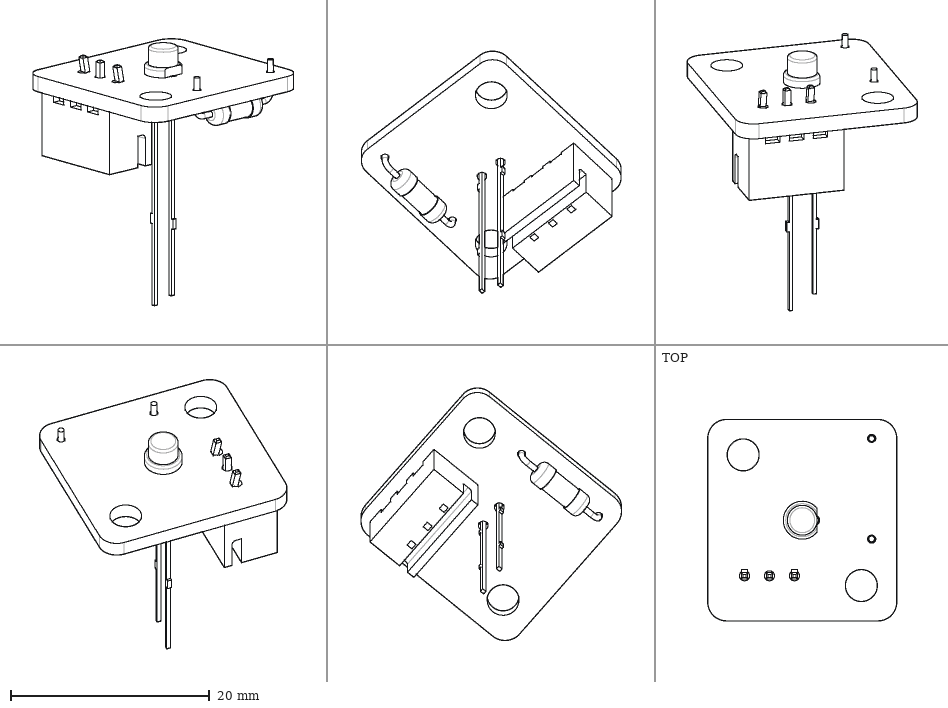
import cadquery as cq


board_length_x = 19.05
board_length_y = 20.3
board_thickness = 1.6
board_corner_radius = 1.9
mounting_hole_diameter = 3.2
mounting_hole_x = 5.95
mounting_hole_y = 6.58

connector_x = -3.3
connector_length_x = 10.0
connector_front_y = -8.98
connector_back_y = -3.2
connector_top_z = -0.05
connector_bottom_z = -7.02
notch_width = 1.5
notch_floor_z = -0.3
notch_recess_z = -1.1
notch_recess_depth = 0.82
side_slot_front_y = -5.08
side_slot_back_y = -4.05
side_slot_top_z = -3.7
side_slot_corner_radius = 0.45

pin_pitch = 2.5
pin_y = -5.6
pin_width = 0.63
pin_rise = 1.7
pin_tip_chamfer = 0.16
pin_tip_length = 0.22
pin_kink = 0.3
pin_hole_diameter = 1.0
pin_xs = [connector_x + i * pin_pitch for i in (-1, 0, 1)]
outer_pin_xs = [pin_xs[0], pin_xs[-1]]

resistor_x = 7.0
resistor_y = 3.17
resistor_axis_z = -1.3
resistor_length = 6.33
resistor_cap_radius = 1.25
resistor_end_fillet = 0.6
resistor_waist_radius = 1.15
resistor_waist_length = 3.08
resistor_lead_spacing = 10.13
resistor_lead_diameter = 0.6
resistor_lead_bend_radius = 0.87
resistor_lead_rise = 1.28
resistor_hole_diameter = 0.8
resistor_lead_ys = [resistor_y + side * resistor_lead_spacing / 2 for side in (-1, 1)]

lens_radius = 1.5
lens_height = 2.8
flange_radius = 1.9
flange_height = 0.95
led_fillet = 0.25
led_lead_x = 1.25
led_lead_width_x = 0.35
led_lead_width_y = 0.45
led_hole_diameter = 0.95
led_total_height = 27.3
led_long_lead_z = board_thickness + lens_height - led_total_height
led_lead_difference = 1.53
led_short_lead_z = led_long_lead_z + led_lead_difference
stop_projection = 0.25
stop_height = 1.05
stop_top_zs = [-1.35, -13.32]


def box_between(x_min, x_max, y_min, y_max, z_min, z_max):
    """Axis-aligned box between opposite corners."""
    return cq.Workplane("XY").box(
        x_max - x_min, y_max - y_min, z_max - z_min, centered=False
    ).translate((x_min, y_min, z_min))


def make_pin(x, kink):
    """Square pin with a tapered tip, bent toward +Y by `kink` at the board's top face."""
    half = pin_width / 2
    tip_z = board_thickness + pin_rise
    bend_points = [
        (pin_y, connector_bottom_z),
        (pin_y, 0),
        (pin_y + kink, board_thickness),
        (pin_y, tip_z - pin_tip_length),
        (pin_y, tip_z),
    ]
    front_edge = [(y - half, z) for y, z in bend_points]
    back_edge = [(y + half, z) for y, z in reversed(bend_points)]
    pin = (
        cq.Workplane("YZ", origin=(x - half, 0, 0))
        .polyline(front_edge + back_edge)
        .close()
        .extrude(pin_width)
    )
    return pin.faces(">Z").chamfer(pin_tip_chamfer)


def make_board(kinked_pins):
    """Rounded plate with mounting and lead holes, relieved where the kinked pins lean out."""
    board = (
        cq.Workplane("XY")
        .rect(board_length_x, board_length_y)
        .extrude(board_thickness)
        .edges("|Z")
        .fillet(board_corner_radius)
    )
    mounting_points = [(-mounting_hole_x, mounting_hole_y), (mounting_hole_x, -mounting_hole_y)]
    hole_groups = [
        (mounting_hole_diameter, mounting_points),
        (pin_hole_diameter, [(x, pin_y) for x in pin_xs]),
        (resistor_hole_diameter, [(resistor_x, y) for y in resistor_lead_ys]),
        (led_hole_diameter, [(-led_lead_x, 0), (led_lead_x, 0)]),
    ]
    for diameter, points in hole_groups:
        drills = cq.Workplane("XY").pushPoints(points).circle(diameter / 2).extrude(board_thickness)
        board = board.cut(drills)
    for pin in kinked_pins:
        board = board.cut(pin)
    return board


def make_connector():
    """Block with a slot along X, a top notch at each pin and square pin holes."""
    x_min = connector_x - connector_length_x / 2
    x_max = connector_x + connector_length_x / 2
    connector = box_between(
        x_min, x_max, connector_front_y, connector_back_y, connector_bottom_z, connector_top_z
    )
    side_slot = (
        box_between(
            x_min, x_max, side_slot_front_y, side_slot_back_y, connector_bottom_z, side_slot_top_z
        )
        .edges("|X and >Y and >Z")
        .fillet(side_slot_corner_radius)
    )
    connector = connector.cut(side_slot)
    for x in pin_xs:
        left = x - notch_width / 2
        right = x + notch_width / 2
        recess_back_y = connector_front_y + notch_recess_depth
        notch = box_between(
            left, right, connector_front_y, connector_back_y, notch_floor_z, connector_top_z
        )
        recess = box_between(
            left, right, connector_front_y, recess_back_y, notch_recess_z, connector_top_z
        )
        connector = connector.cut(notch).cut(recess)
    pin_holes = (
        cq.Workplane("XY", origin=(0, 0, connector_bottom_z))
        .pushPoints([(x, pin_y) for x in pin_xs])
        .rect(pin_width, pin_width)
        .extrude(connector_top_z - connector_bottom_z)
    )
    return connector.cut(pin_holes)


def make_resistor():
    """Axial resistor along Y with both leads bent up through the board."""
    half_length = resistor_length / 2
    body = (
        cq.Workplane("XZ", origin=(0, half_length, 0))
        .circle(resistor_cap_radius)
        .extrude(resistor_length)
        .edges()
        .fillet(resistor_end_fillet)
    )
    waist_cut = (
        cq.Workplane("XZ", origin=(0, resistor_waist_length / 2, 0))
        .circle(resistor_cap_radius)
        .circle(resistor_waist_radius)
        .extrude(resistor_waist_length)
    )
    body = body.cut(waist_cut)

    lead_y = resistor_lead_spacing / 2
    bend = resistor_lead_bend_radius
    lead_top = board_thickness + resistor_lead_rise - resistor_axis_z
    path = (
        cq.Workplane("YZ")
        .moveTo(-lead_y, lead_top)
        .lineTo(-lead_y, bend)
        .radiusArc((bend - lead_y, 0), -bend)
        .lineTo(lead_y - bend, 0)
        .radiusArc((lead_y, bend), -bend)
        .lineTo(lead_y, lead_top)
    )
    wire = (
        cq.Workplane("XY", origin=(0, -lead_y, lead_top))
        .circle(resistor_lead_diameter / 2)
        .sweep(path)
    )
    return body.union(wire).translate((resistor_x, resistor_y, resistor_axis_z))


def make_led_lead(side, end_z):
    """Straight lead on one side of the LED, with stops projecting outward."""
    half_x = led_lead_width_x / 2
    half_y = led_lead_width_y / 2
    lead = box_between(
        led_lead_x - half_x, led_lead_x + half_x, -half_y, half_y, end_z, board_thickness
    )
    for top_z in stop_top_zs:
        stop = box_between(
            led_lead_x, led_lead_x + half_x + stop_projection,
            -half_y, half_y, top_z - stop_height, top_z,
        )
        lead = lead.union(stop)
    if side < 0:
        lead = lead.mirror("YZ")
    return lead


def make_led():
    """Flat-topped lens on a flange with one flat side, plus two leads through the board."""
    base = cq.Workplane("XY", origin=(0, 0, board_thickness))
    flange = base.circle(flange_radius).extrude(flange_height).faces(">Z").edges().fillet(led_fillet)
    flat_cut = box_between(
        lens_radius, flange_radius, -flange_radius, flange_radius,
        board_thickness, board_thickness + flange_height,
    )
    lens = base.circle(lens_radius).extrude(lens_height).faces(">Z").edges().fillet(led_fillet)
    led = flange.cut(flat_cut).union(lens)
    led = led.union(make_led_lead(-1, led_long_lead_z))
    return led.union(make_led_lead(1, led_short_lead_z))


outer_pins = [make_pin(x, pin_kink) for x in outer_pin_xs]
middle_pin = make_pin(connector_x, 0)
board = make_board(outer_pins)
connector = make_connector()
resistor = make_resistor()
led = make_led()

result = cq.Compound.makeCompound([
    board.val(),
    connector.val(),
    *[pin.val() for pin in outer_pins],
    middle_pin.val(),
    resistor.val(),
    led.val(),
])